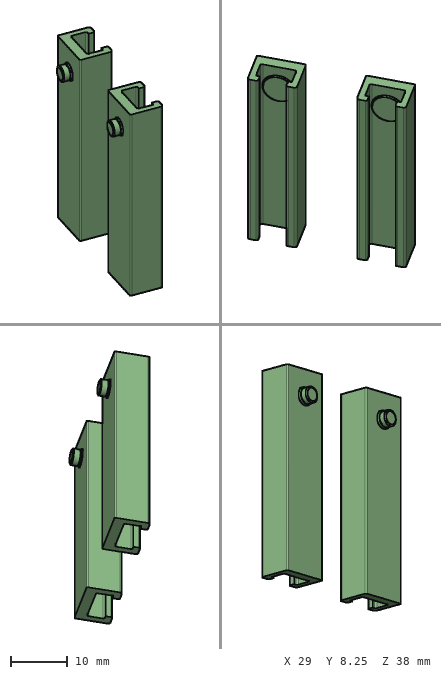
import cadquery as cq

length = 38.0
channel_width = 9.0
channel_depth = 6.5
web_thickness = 2.0
wall_thickness = 1.2
lip_thickness = 1.3
slot_width = 5.13
channel_pitch = 20.0
lip_outer_radius = 0.5
lip_inner_radius = 0.38
lip_root_radius = 0.3
web_outer_radius = 0.25
web_inner_radius = 0.35

screw_drop = 5.0
hole_diameter = 3.4
countersink_diameter = 6.0
head_diameter = 5.6
head_rise = 0.25
neck_diameter = 2.15
shank_diameter = 3.0
shank_reach = 1.75
shank_gap = 0.1
end_face_diameter = 2.4
end_chamfer_length = 0.2
neck_chamfer_length = 0.25

selection_margin = 0.005

screw_height = length - screw_drop
countersink_radius = countersink_diameter / 2
head_radius = head_diameter / 2
hole_radius = hole_diameter / 2
neck_radius = neck_diameter / 2
shank_radius = shank_diameter / 2
end_face_radius = end_face_diameter / 2


def seat_height(radius):
    """Y at a given radius on the cone from the shank neck out to the countersink rim.

    The screw head and the countersink both follow this cone, so the head rests on it.
    """
    cone_height = web_thickness + shank_gap
    share = (radius - neck_radius) / (countersink_radius - neck_radius)
    return share * cone_height - shank_gap


def round_edges(body, x, y, radius):
    """Fillet the two mirrored vertical edges at -x and +x."""
    reach = selection_margin
    for side in (-1, 1):
        corner = cq.selectors.BoxSelector(
            (side * x - reach, y - reach, -reach),
            (side * x + reach, y + reach, length + reach),
        )
        body = body.edges("|Z").edges(corner).fillet(radius)
    return body


def revolve_about_screw_axis(outline):
    """Turn a (radius, y) outline about the Y axis and lift it to the screw height."""
    profile = cq.Workplane("XY").polyline(outline).close()
    return profile.revolve(360, (0, 0, 0), (0, 1, 0)).translate((0, 0, screw_height))


def make_channel():
    half_width = channel_width / 2
    half_cavity = half_width - wall_thickness
    half_slot = slot_width / 2
    lip_bottom = channel_depth - lip_thickness
    half_outline = [
        (0, 0),
        (half_width, 0),
        (half_width, channel_depth),
        (half_slot, channel_depth),
        (half_slot, lip_bottom),
        (half_cavity, lip_bottom),
        (half_cavity, web_thickness),
        (0, web_thickness),
    ]
    half = cq.Workplane("XY").polyline(half_outline).close().extrude(length)
    body = half.union(half.mirror("YZ")).clean()

    body = round_edges(body, half_width, 0, web_outer_radius)
    body = round_edges(body, half_width, channel_depth, lip_outer_radius)
    body = round_edges(body, half_slot, channel_depth, lip_inner_radius)
    body = round_edges(body, half_cavity, lip_bottom, lip_root_radius)
    body = round_edges(body, half_cavity, web_thickness, web_inner_radius)

    hole = revolve_about_screw_axis([
        (0, 0),
        (hole_radius, 0),
        (hole_radius, seat_height(hole_radius)),
        (countersink_radius, web_thickness),
        (0, web_thickness),
    ])
    return body.cut(hole)


def make_screw():
    shank_end = -shank_reach
    shank_start = -shank_gap
    return revolve_about_screw_axis([
        (0, shank_end),
        (end_face_radius, shank_end),
        (shank_radius, shank_end + end_chamfer_length),
        (shank_radius, shank_start - neck_chamfer_length),
        (neck_radius, shank_start),
        (head_radius, seat_height(head_radius)),
        (head_radius, web_thickness + head_rise),
        (0, web_thickness + head_rise),
    ])


channel = make_channel()
screw = make_screw()

bodies = []
for station in (-channel_pitch / 2, channel_pitch / 2):
    bodies.append(channel.translate((station, 0, 0)).val())
    bodies.append(screw.translate((station, 0, 0)).val())

result = cq.Compound.makeCompound(bodies)